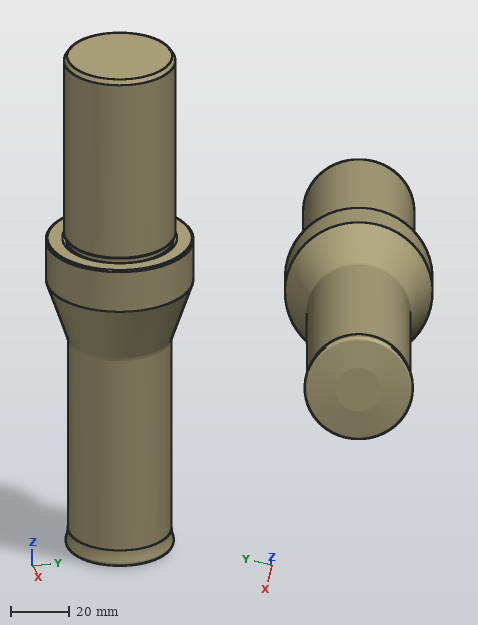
import cadquery as cq
import math

total_height = 188.0
shank_bottom = 120.1
collar_top = 118.2
collar_bottom = 102.5
cone_bottom = 80.3
head_top = 7.1

shank_radius = 19.2
shank_top_radius = 18.0
neck_radius = 18.5
recess_radius = 19.7
collar_radius = 25.4
stem_radius = 17.9
head_radius = 18.6
tip_radius = 7.9

shank_chamfer_height = 1.7
collar_chamfer = 0.5
recess_depth = 0.5
cone_blend_radius = 3.8
head_rim_height = 2.6
corner_width = 1.0
corner_bottom = 1.1

flare_height = head_top - head_rim_height
flare_width = head_radius - stem_radius
flare_radius = (flare_height**2 + flare_width**2) / (2 * flare_width)


def flare_point(height):
    """Point of the flared side at a given height."""
    drop = head_top - height
    return stem_radius + flare_radius - math.sqrt(flare_radius**2 - drop**2), height


def revolve_about_z(profile):
    return profile.close().revolve(360, (0, 0, 0), (0, 1, 0))


def make_holder():
    """Shank, recessed collar, cone and stem in one turned body."""
    profile = (
        cq.Workplane("XZ")
        .moveTo(0, head_top)
        .lineTo(stem_radius, head_top)
        .lineTo(stem_radius, cone_bottom)
        .lineTo(collar_radius, collar_bottom)
        .lineTo(collar_radius, collar_top - collar_chamfer)
        .lineTo(collar_radius - collar_chamfer, collar_top)
        .lineTo(recess_radius, collar_top)
        .lineTo(neck_radius, collar_top - recess_depth)
        .lineTo(neck_radius, shank_bottom - (shank_radius - neck_radius))
        .lineTo(shank_radius, shank_bottom)
        .lineTo(shank_radius, total_height - shank_chamfer_height)
        .lineTo(shank_top_radius, total_height)
        .lineTo(0, total_height)
    )
    cone_foot = cq.selectors.NearestToPointSelector((0, 0, cone_bottom))
    return revolve_about_z(profile).edges("%CIRCLE").edges(cone_foot).fillet(cone_blend_radius)


def make_head():
    """Flared end piece with a rounded corner and a shallow conical underside."""
    corner_diagonal = math.sqrt(0.5)
    corner_height = head_rim_height - corner_bottom
    corner_middle = (
        head_radius - corner_width * (1 - corner_diagonal),
        head_rim_height - corner_height * corner_diagonal,
    )
    profile = (
        cq.Workplane("XZ")
        .lineTo(tip_radius, 0)
        .lineTo(head_radius - corner_width, corner_bottom)
        .threePointArc(corner_middle, (head_radius, head_rim_height))
        .threePointArc(flare_point((head_rim_height + head_top) / 2), (stem_radius, head_top))
        .lineTo(0, head_top)
    )
    return revolve_about_z(profile)


holder = make_holder()
head = make_head()
result = cq.Compound.makeCompound([holder.val(), head.val()])